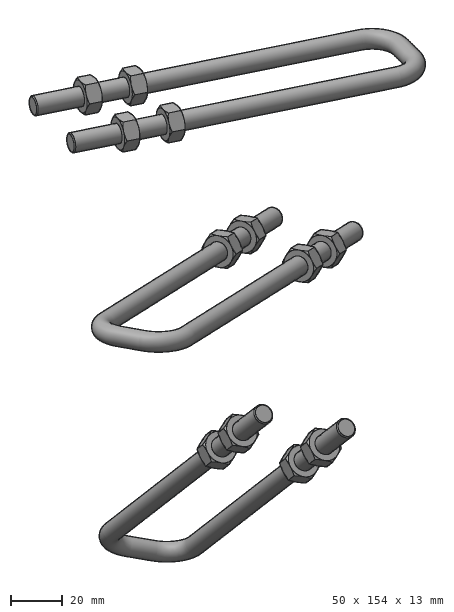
import cadquery as cq
import math


overall_width = 50.0
total_length = 154.0
rod_diameter = 8.0
bend_radius = 12.0
tip_chamfer = 0.5

nut_across_flats = 13.0
nut_thickness = 6.5
nut_chamfer_angle = 30.0
first_nut_offset = 20.0
nut_pitch = 19.1
nuts_per_leg = 2

nut_across_corners = nut_across_flats / math.cos(math.radians(30))
leg_x = (overall_width - nut_across_corners) / 2
rod_radius = rod_diameter / 2
crown_y = total_length - rod_radius
bend_start_y = crown_y - bend_radius
crown_half_length = leg_x - bend_radius


def make_u_bolt():
    """Round rod swept along a U, with both tips chamfered."""
    corner_offset = bend_radius * math.sin(math.radians(45))
    bend_mid_x = crown_half_length + corner_offset
    bend_mid_y = bend_start_y + corner_offset
    path = (
        cq.Workplane("XY")
        .moveTo(-leg_x, 0)
        .lineTo(-leg_x, bend_start_y)
        .threePointArc((-bend_mid_x, bend_mid_y), (-crown_half_length, crown_y))
        .lineTo(crown_half_length, crown_y)
        .threePointArc((bend_mid_x, bend_mid_y), (leg_x, bend_start_y))
        .lineTo(leg_x, 0)
    )
    rod = cq.Workplane("XZ", origin=(-leg_x, 0, 0)).circle(rod_radius).sweep(path)
    return rod.faces("<Y").edges().chamfer(tip_chamfer)


def make_nut():
    """Hex nut along +Y from the origin, corners chamfered at both ends, flats facing up and down."""
    prism = (
        cq.Workplane("XZ")
        .polygon(6, nut_across_corners)
        .circle(rod_radius)
        .extrude(-nut_thickness)
    )
    corner_radius = nut_across_corners / 2
    face_radius = nut_across_flats / 2
    chamfer_depth = (corner_radius - face_radius) * math.tan(math.radians(nut_chamfer_angle))
    chamfer_envelope = (
        cq.Workplane("XY")
        .moveTo(0, 0)
        .lineTo(face_radius, 0)
        .lineTo(corner_radius, chamfer_depth)
        .lineTo(corner_radius, nut_thickness - chamfer_depth)
        .lineTo(face_radius, nut_thickness)
        .lineTo(0, nut_thickness)
        .close()
        .revolve(360, (0, 0, 0), (0, 1, 0))
    )
    return prism.intersect(chamfer_envelope)


u_bolt = make_u_bolt()

nuts = []
for nut_x in (-leg_x, leg_x):
    for nut_index in range(nuts_per_leg):
        nut_y = first_nut_offset + nut_index * nut_pitch
        nuts.append(make_nut().translate((nut_x, nut_y, 0)).solids().val())

result = cq.Compound.makeCompound([u_bolt.solids().val(), *nuts])